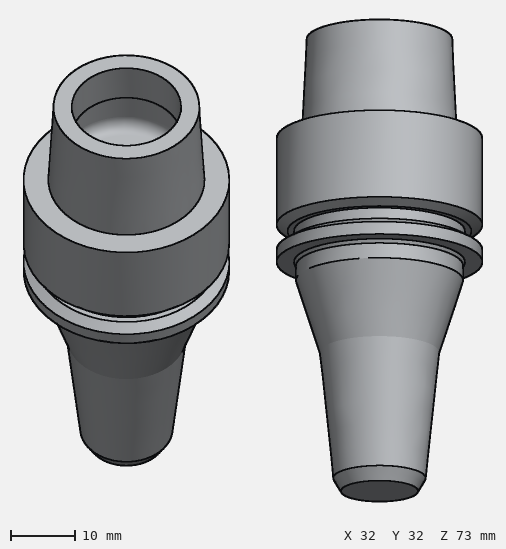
import cadquery as cq

total_length = 73.0
shank_length = 16.0
flange_length = 20.0
flange_top = total_length - shank_length
flange_bottom = flange_top - flange_length

shank_top_diameter = 22.7
shank_base_diameter = 24.3

mouth_diameter = 17.0
mouth_depth = 6.5
undercut_diameter = 21.0
floor_depth = 14.7
floor_corner_radius = (undercut_diameter - mouth_diameter) / 2

flange_diameter = 32.0
groove_diameter = 26.6
groove_shoulder_diameter = 28.6
groove_outer_width = 4.0
groove_floor_width = 2.0
rim_thickness = 2.0

collar_diameter = 26.0
collar_top_diameter = 26.6
collar_taper_length = 0.6
collar_length = 3.0

cone_length = 11.6
nose_top_diameter = 18.6
nose_bottom_diameter = 14.4
tip_diameter = 12.0
tip_chamfer_length = 2.1


def revolved(profile):
    """Revolve a closed half section of (radius, height) points about Z."""
    return cq.Workplane("YZ").polyline(profile).close().revolve(360, (0, 0), (0, 1))


def turned_body():
    """Outer form from the nose tip up to the top of the shank."""
    groove_bottom = flange_bottom + rim_thickness
    groove_top = groove_bottom + groove_outer_width
    groove_wall_height = (groove_outer_width - groove_floor_width) / 2
    collar_bottom = flange_bottom - collar_length
    profile = [
        (0, 0),
        (tip_diameter / 2, 0),
        (nose_bottom_diameter / 2, tip_chamfer_length),
        (nose_top_diameter / 2, collar_bottom - cone_length),
        (collar_diameter / 2, collar_bottom),
        (collar_diameter / 2, flange_bottom - collar_taper_length),
        (collar_top_diameter / 2, flange_bottom),
        (flange_diameter / 2, flange_bottom),
        (flange_diameter / 2, groove_bottom),
        (groove_shoulder_diameter / 2, groove_bottom + groove_wall_height),
        (groove_diameter / 2, groove_bottom + groove_wall_height),
        (groove_diameter / 2, groove_top - groove_wall_height),
        (groove_shoulder_diameter / 2, groove_top - groove_wall_height),
        (flange_diameter / 2, groove_top),
        (flange_diameter / 2, flange_top),
        (shank_base_diameter / 2, flange_top),
        (shank_top_diameter / 2, total_length),
        (0, total_length),
    ]
    return revolved(profile)


def shank_bore():
    """Blind stepped bore entering the shank from its top face."""
    lip = total_length - mouth_depth
    floor = total_length - floor_depth
    profile = [
        (0, floor),
        (undercut_diameter / 2, floor),
        (undercut_diameter / 2, lip),
        (mouth_diameter / 2, lip),
        (mouth_diameter / 2, total_length),
        (0, total_length),
    ]
    return revolved(profile).edges("<Z").fillet(floor_corner_radius)


result = turned_body().cut(shank_bore())